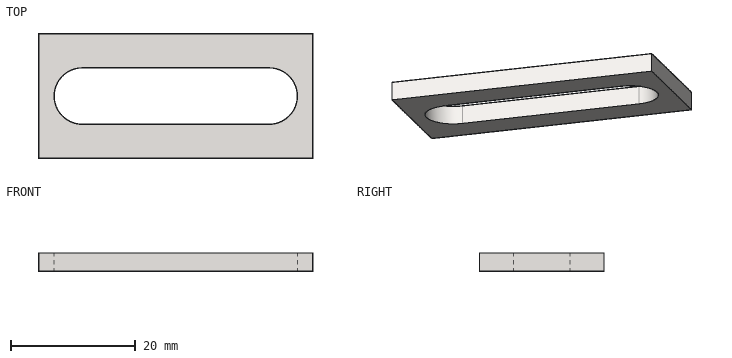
import cadquery as cq

plate_length = 44.0
plate_width = 20.0
plate_thickness = 3.0

slot_length = 39.0
slot_width = 9.0

plate = cq.Workplane("XY").box(plate_length, plate_width, plate_thickness)

result = plate.faces(">Z").workplane().slot2D(slot_length, slot_width).cutThruAll()